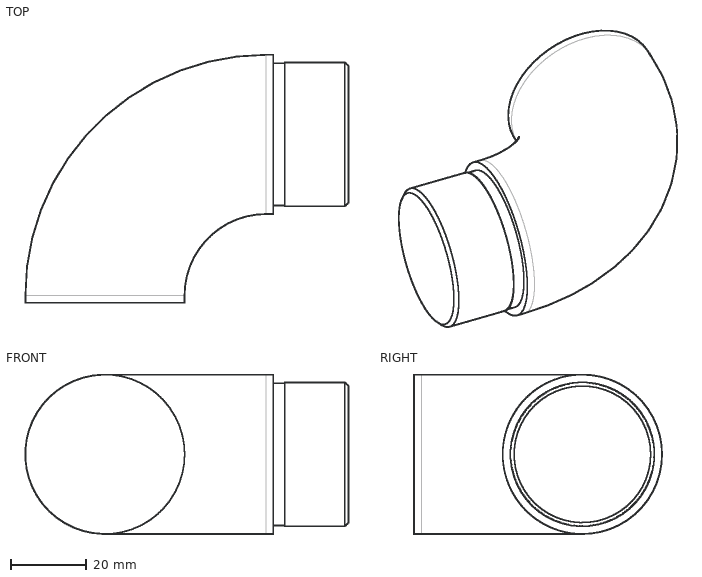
import cadquery as cq

tube_diameter = 42.4
leg_reach = 66.0
collar_length = 2.0
bend_radius = leg_reach - collar_length - tube_diameter / 2
bend_angle = 90

spigot_length = 20.0
spigot_diameter = 38.3
spigot_chamfer = 1.0
neck_length = 3.0
neck_diameter = 37.9

outlet_y = collar_length + bend_radius
outlet_x = bend_radius + collar_length


def cylinder_along_x(start_x, diameter, length):
    """Solid cylinder on the outlet axis, growing toward +X."""
    return (
        cq.Workplane("YZ", origin=(start_x, outlet_y, 0))
        .circle(diameter / 2)
        .extrude(length)
    )


def make_inlet_collar():
    """Straight end on the -Y side, closed by a flat face at Y = 0."""
    return cq.Workplane("XZ").circle(tube_diameter / 2).extrude(-collar_length)


def make_bend():
    """Quarter torus turning from +Y to +X."""
    return (
        cq.Workplane("XZ", origin=(0, collar_length, 0))
        .circle(tube_diameter / 2)
        .revolve(bend_angle, (bend_radius, 1, 0), (bend_radius, 0, 0))
    )


def make_spigot():
    """Reduced plug: a relieved neck, then a land with a chamfered tip."""
    neck = cylinder_along_x(outlet_x, neck_diameter, neck_length)
    land = cylinder_along_x(outlet_x + neck_length, spigot_diameter, spigot_length - neck_length)
    return neck.union(land.faces(">X").chamfer(spigot_chamfer))


outlet_collar = cylinder_along_x(bend_radius, tube_diameter, collar_length)

result = make_inlet_collar().union(make_bend()).union(outlet_collar).union(make_spigot())